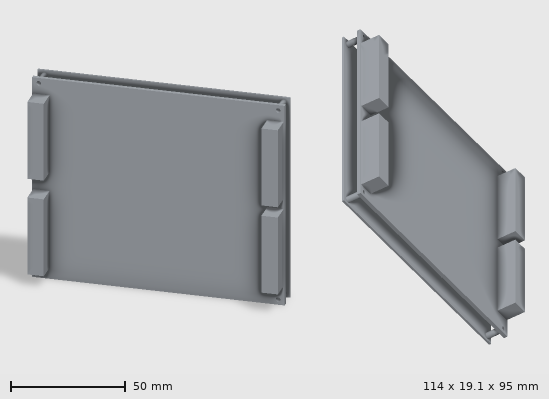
import cadquery as cq

board_width = 114.0
board_height = 95.0
front_board_thickness = 1.8
back_board_thickness = 1.0
board_gap = 6.8

standoff_diameter = 3.0
hole_diameter = 2.0
hole_side_distance = 3.0
hole_end_distance = 2.5

connector_width = 7.4
connector_length = 36.6
connector_depth = 9.5
connector_side_margin = 0.5
upper_connector_top_margin = 7.6
lower_left_bottom_margin = 5.2
lower_right_bottom_margin = 9.2

gap_start = front_board_thickness
gap_end = gap_start + board_gap
back_face = gap_end + back_board_thickness


def board(front_y, thickness):
    return cq.Workplane("XY").box(
        board_width, thickness, board_height, centered=(True, False, True)
    ).translate((0, front_y, 0))


def corner_cylinders(diameter, start_y, end_y):
    """Cylinders along Y at the four hole positions."""
    return (
        cq.Workplane("XZ", origin=(0, end_y, 0))
        .rect(board_width - 2 * hole_side_distance, board_height - 2 * hole_end_distance,
              forConstruction=True)
        .vertices()
        .circle(diameter / 2)
        .extrude(end_y - start_y)
    )


def connector(side, bottom_z):
    """Connector block on the left (side = -1) or right (side = 1)."""
    center_x = side * (board_width / 2 - connector_side_margin - connector_width / 2)
    return cq.Workplane("XY").box(
        connector_width, connector_depth, connector_length, centered=(True, False, False)
    ).translate((center_x, -connector_depth, bottom_z))


boards = board(0, front_board_thickness).union(
    corner_cylinders(standoff_diameter, gap_start, gap_end)
).union(board(gap_end, back_board_thickness))
result = boards.cut(corner_cylinders(hole_diameter, 0, back_face))

board_bottom = -board_height / 2
upper_bottom = board_height / 2 - upper_connector_top_margin - connector_length
for side, lower_margin in ((-1, lower_left_bottom_margin), (1, lower_right_bottom_margin)):
    result = result.union(connector(side, upper_bottom))
    result = result.union(connector(side, board_bottom + lower_margin))